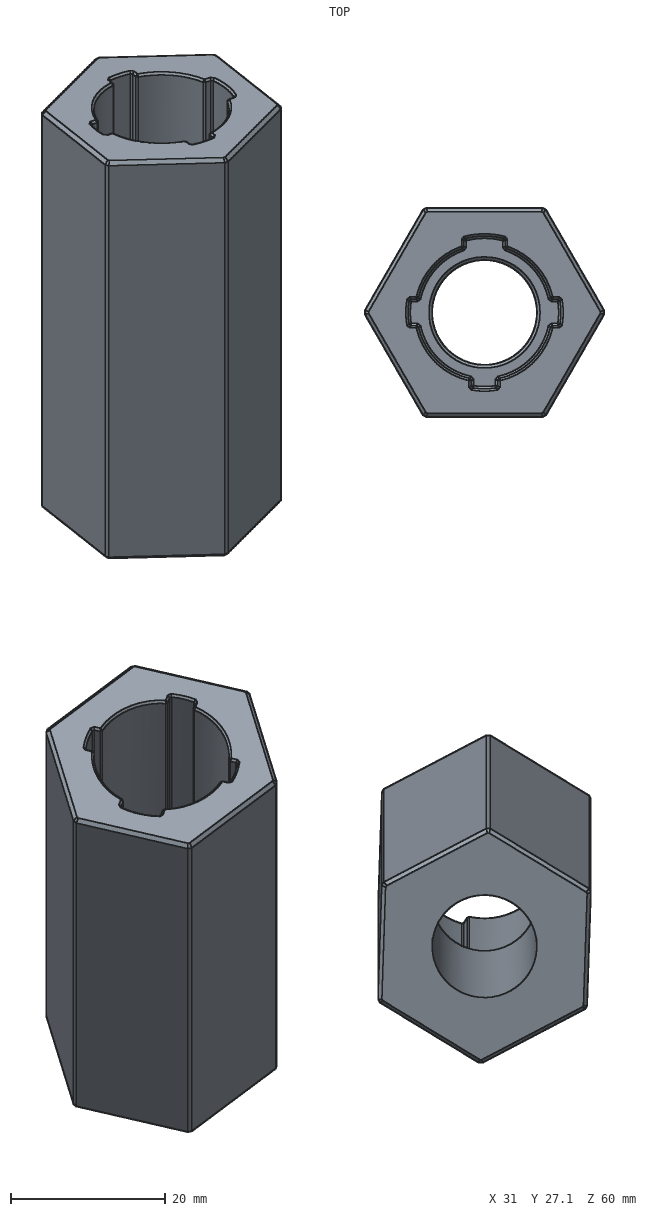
import cadquery as cq

height = 60.0
across_flats = 27.1
corner_chamfer = 0.3
end_chamfer = 0.5

hole_radius = 6.8
socket_radius = 8.75
socket_depth = height / 2
mouth_chamfer = 0.3
floor_chamfer = 0.3
hole_chamfer = 0.4

keyway_radius = 9.9
keyway_width = 3.4
wide_keyway_width = 5.35
keyway_edge_chamfer = 0.2

WIDE_KEYWAY_ANGLE = 90
NARROW_KEYWAY_ANGLES = (0, 180, 270)
HEXAGON_CORNER_RATIO = 2 / 3 ** 0.5


def hexagonal_body():
    hexagon = cq.Workplane("XY").polygon(6, across_flats * HEXAGON_CORNER_RATIO)
    prism = hexagon.extrude(height)
    prism = prism.edges("|Z").chamfer(corner_chamfer)
    return prism.faces("<Z or >Z").chamfer(end_chamfer)


def keyway(width, angle):
    """Straight-sided channel from the axis outwards, with a floor concentric to the socket."""
    channel = cq.Workplane("XY").box(keyway_radius, width, socket_depth, centered=(False, True, False))
    floor_limit = cq.Workplane("XY").circle(keyway_radius).extrude(socket_depth)
    return channel.intersect(floor_limit).rotate((0, 0, 0), (0, 0, 1), angle)


def keyed_socket():
    """Solid to cut away for the socket, standing on Z = 0."""
    socket = cq.Workplane("XY").circle(socket_radius).extrude(socket_depth)
    socket = socket.union(keyway(wide_keyway_width, WIDE_KEYWAY_ANGLE))
    for angle in NARROW_KEYWAY_ANGLES:
        socket = socket.union(keyway(keyway_width, angle))
    socket = socket.edges("|Z").chamfer(keyway_edge_chamfer)
    return socket.faces("<Z").chamfer(floor_chamfer)


def chamfer_mouth(body):
    """Break the edge all round the keyed opening in the top face."""
    opening = body.faces(">Z").val().innerWires()[0]
    return body.newObject(opening.Edges()).chamfer(mouth_chamfer)


def chamfered_hole():
    """Solid to cut away for the hole, flared where it meets the socket floor."""
    hole = cq.Workplane("XY").circle(hole_radius).extrude(height)
    flare_bottom = height - socket_depth - hole_chamfer
    flare = (
        cq.Workplane("XY", origin=(0, 0, flare_bottom))
        .circle(hole_radius)
        .workplane(offset=hole_chamfer)
        .circle(hole_radius + hole_chamfer)
        .loft()
    )
    return hole.union(flare)


body = hexagonal_body()
body = body.cut(keyed_socket().translate((0, 0, height - socket_depth)))
body = chamfer_mouth(body)
result = body.cut(chamfered_hole())